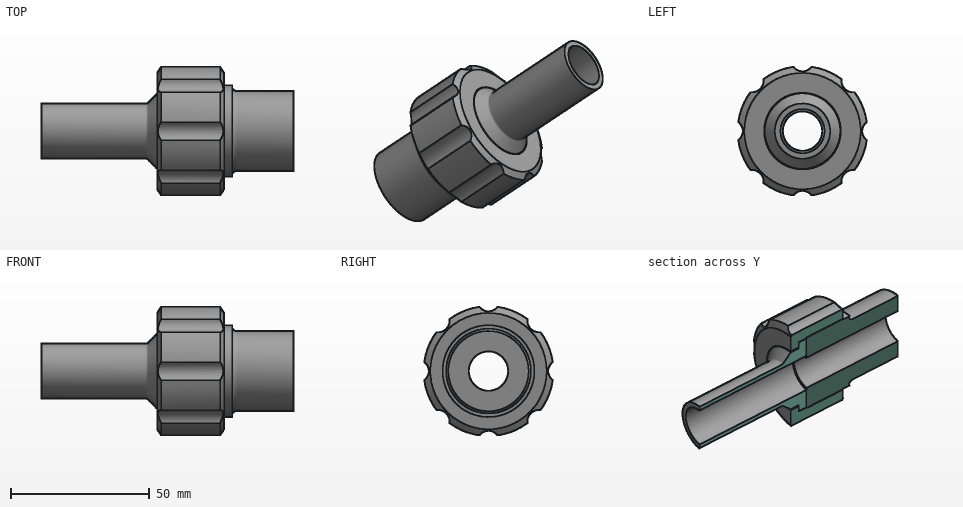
import cadquery as cq
import math

total_length = 91.2

nut_start = 41.9
nut_length = 24.2
nut_end = nut_start + nut_length
nut_diameter = 47.0
nut_chamfer_length = 1.5
nut_chamfer_depth = 2.5
nut_lip_thickness = 3.65
nut_lip_bore = 27.7
groove_count = 8
groove_radius = 4.1
groove_center_distance = 25.7

tail_pipe_diameter = 20.0
tail_bore = 16.0
tail_neck_diameter = 27.3
tail_pipe_length = 38.2
tail_flange_thickness = 3.65
tail_flange_start = nut_start + nut_lip_thickness
tail_flange_end = tail_flange_start + tail_flange_thickness
tail_flare_angle = math.radians(45)
tail_flare_fillet = 0.9
tail_flare_rise = (tail_neck_diameter - tail_pipe_diameter) / 2
tail_flare_end = tail_pipe_length + tail_flare_rise / math.tan(tail_flare_angle)

collar_diameter = 33.2
collar_projection = 3.0
collar_end = nut_end + collar_projection
connector_diameter = 29.0
connector_bore = 14.1
connector_fillet_radius = 2.0
connector_fillet_diameter = 30.7
connector_fillet_rise = (connector_fillet_diameter - connector_diameter) / 2
connector_fillet_length = math.sqrt(
    connector_fillet_radius**2 - (connector_fillet_radius - connector_fillet_rise) ** 2
)


def cylinder(diameter, start, end):
    """Solid cylinder on the X axis between two X positions."""
    return cq.Workplane("YZ", origin=(start, 0, 0)).circle(diameter / 2).extrude(end - start)


def revolve_about_x(profile):
    """Close an (x, radius) profile and revolve it a full turn about the X axis."""
    return profile.close().revolve(360, (0, 0, 0), (1, 0, 0))


def make_tailpiece():
    """Pipe that flares to a neck, with a flange held behind the nut lip."""
    pipe_radius = tail_pipe_diameter / 2
    neck_radius = tail_neck_diameter / 2
    flange_radius = collar_diameter / 2
    bore_radius = tail_bore / 2
    tangent_length = tail_flare_fillet * math.tan(tail_flare_angle / 2)
    fillet_end_x = tail_pipe_length + tangent_length * math.cos(tail_flare_angle)
    fillet_end_radius = pipe_radius + tangent_length * math.sin(tail_flare_angle)
    profile = (
        cq.Workplane("XY")
        .moveTo(0, bore_radius)
        .lineTo(0, pipe_radius)
        .lineTo(tail_pipe_length - tangent_length, pipe_radius)
        .tangentArcPoint((fillet_end_x, fillet_end_radius), relative=False)
        .lineTo(tail_flare_end, neck_radius)
        .lineTo(tail_flange_start, neck_radius)
        .lineTo(tail_flange_start, flange_radius)
        .lineTo(tail_flange_end, flange_radius)
        .lineTo(tail_flange_end, bore_radius)
    )
    return revolve_about_x(profile)


def make_nut():
    """Chamfered ring with round grooves for grip and a lip at its -X end."""
    outer_radius = nut_diameter / 2
    face_radius = outer_radius - nut_chamfer_depth
    profile = cq.Workplane("XY").polyline([
        (nut_start, 0),
        (nut_start, face_radius),
        (nut_start + nut_chamfer_length, outer_radius),
        (nut_end - nut_chamfer_length, outer_radius),
        (nut_end, face_radius),
        (nut_end, 0),
    ])
    nut = revolve_about_x(profile)
    grooves = (
        cq.Workplane("YZ", origin=(nut_start, 0, 0))
        .polarArray(groove_center_distance, 0, 360, groove_count)
        .circle(groove_radius)
        .extrude(nut_length)
    )
    lip_hole = cylinder(nut_lip_bore, nut_start, nut_end)
    main_bore = cylinder(collar_diameter, tail_flange_start, nut_end)
    return nut.cut(grooves).cut(lip_hole).cut(main_bore)


def make_connector():
    """Pipe whose collar fills the nut and butts against the tailpiece flange."""
    collar_radius = collar_diameter / 2
    pipe_radius = connector_diameter / 2
    bore_radius = connector_bore / 2
    profile = (
        cq.Workplane("XY")
        .moveTo(total_length, bore_radius)
        .lineTo(total_length, pipe_radius)
        .lineTo(collar_end + connector_fillet_length, pipe_radius)
        .tangentArcPoint((collar_end, connector_fillet_diameter / 2), relative=False)
        .lineTo(collar_end, collar_radius)
        .lineTo(tail_flange_end, collar_radius)
        .lineTo(tail_flange_end, bore_radius)
    )
    return revolve_about_x(profile)


tailpiece = make_tailpiece()
nut = make_nut()
connector = make_connector()

result = cq.Compound.makeCompound([tailpiece.val(), nut.val(), connector.val()])